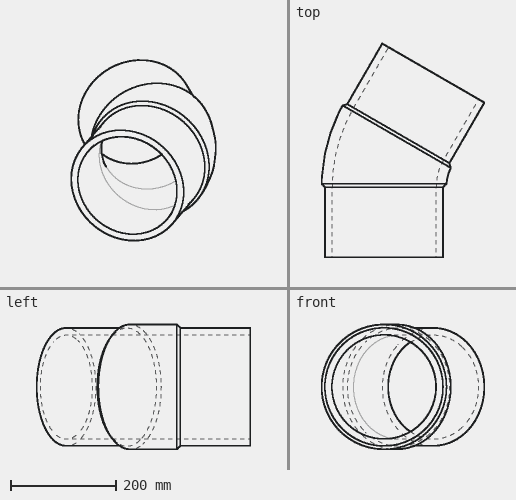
import cadquery as cq
import math

bend_angle = 30.0
pipe_diameter = 225.0
bore_diameter = 198.2
bend_diameter = 238.0
leg_length = 188.0
bend_radius = 204.5

shoulder_height = (bend_diameter - pipe_diameter) / 2
tangent_length = bend_radius * math.tan(math.radians(bend_angle / 2))
spigot_length = leg_length - tangent_length

bend_center = (bend_radius, 0, 0)
bend_start = cq.Plane(origin=(0, 0, 0), xDir=(1, 0, 0), normal=(0, -1, 0))


def at_far_end(body):
    """Mirror a body at the bend start onto the other end of the bend."""
    mirrored = body.mirror("XZ")
    axis_end = (bend_radius, 0, 1)
    return mirrored.rotate(bend_center, axis_end, -bend_angle)


def straight(diameter):
    return cq.Workplane(bend_start).circle(diameter / 2).extrude(spigot_length)


def curved(diameter):
    return cq.Workplane(bend_start).circle(diameter / 2).revolve(
        bend_angle, (bend_radius, 4, 0), (bend_radius, -4, 0)
    )


bend = curved(bend_diameter).faces("%PLANE").edges("%CIRCLE").chamfer(shoulder_height)

spigot = straight(pipe_diameter)
body = bend.union(spigot).union(at_far_end(spigot))

bore_leg = straight(bore_diameter)
bore = curved(bore_diameter).union(bore_leg).union(at_far_end(bore_leg))

result = body.cut(bore)